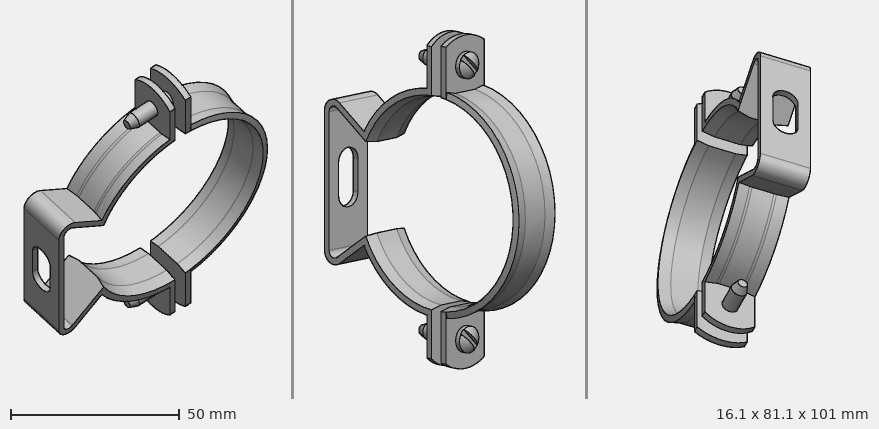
import cadquery as cq
import math


WIDTH = 16.1
HALF_WIDTH = WIDTH / 2
HEIGHT = 101.0
HALF_HEIGHT = HEIGHT / 2

BORE_RADIUS = 31.6
FLARE_ANGLE = math.radians(13.0)
BAND_THICKNESS = 2.1
CLIP_THICKNESS = 2.0
REAR_BEND_X = 4.3
FRONT_BEND_X = 4.1
FRONT_BEND_RADIUS = 3.7

REAR_FLANGE_Y = 2.3
FRONT_FLANGE_Y = -1.6
REAR_TIP_DROP = 2.5
FRONT_TIP_DROP = 3.2
FLANGE_ROOT_Z = 30.3

WALL_Y = -46.6
CORNER_Z = 28.7
ARM_SLOPE = math.radians(34.5)
ARM_ROOT_Y = -20.2
BRACKET_RADIUS = 4.0
SLOT_WIDTH = 8.1
SLOT_LENGTH = 18.0

SCREW_Z = 41.5
SHAFT_RADIUS = 2.5
POINT_RADIUS = 1.5
POINT_LENGTH = 2.7
POINT_START_Y = -10.8
HEAD_RADIUS = 4.0
HEAD_RIM_HEIGHT = 1.6
HEAD_HEIGHT = 3.1
DRIVE_WIDTH = 1.8
DRIVE_DEPTH = 1.7
DRIVE_ANGLE = 45.0

SPAN = 2 * HEIGHT


def revolve_about_x(profile):
    return profile.close().revolve(360, (0, 0, 0), (1, 0, 0))


def flare_rise(bend_x):
    """Radius gained from the bend line to the side of the strip."""
    return (HALF_WIDTH - bend_x) * math.tan(FLARE_ANGLE)


def bore(bend_x):
    """Solid filling the inside of the ring."""
    edge_radius = BORE_RADIUS + flare_rise(bend_x)
    return revolve_about_x(
        cq.Workplane("XY")
        .moveTo(-HALF_WIDTH, 0)
        .lineTo(-HALF_WIDTH, -edge_radius)
        .lineTo(-bend_x, -BORE_RADIUS)
        .lineTo(bend_x, -BORE_RADIUS)
        .lineTo(HALF_WIDTH, -edge_radius)
        .lineTo(HALF_WIDTH, 0)
    )


def outer_bend_x(bend_x, thickness):
    """Bend line on the outside of the strip, before any rounding."""
    return bend_x - thickness * math.tan(FLARE_ANGLE / 2)


def rear_barrel():
    """Filled outside shape of the rear band; the strip edges stand square to the flared sides."""
    bend = outer_bend_x(REAR_BEND_X, BAND_THICKNESS)
    radius = BORE_RADIUS + BAND_THICKNESS
    inner_edge_radius = BORE_RADIUS + flare_rise(REAR_BEND_X)
    edge_x = HALF_WIDTH - BAND_THICKNESS * math.sin(FLARE_ANGLE)
    edge_radius = inner_edge_radius + BAND_THICKNESS * math.cos(FLARE_ANGLE)
    return revolve_about_x(
        cq.Workplane("XY")
        .moveTo(-HALF_WIDTH, 0)
        .lineTo(-HALF_WIDTH, -inner_edge_radius)
        .lineTo(-edge_x, -edge_radius)
        .lineTo(-bend, -radius)
        .lineTo(bend, -radius)
        .lineTo(edge_x, -edge_radius)
        .lineTo(HALF_WIDTH, -inner_edge_radius)
        .lineTo(HALF_WIDTH, 0)
    )


def front_barrel():
    """Filled outside shape of the front clip; side faces are flat and the outer bends are rounded."""
    edge_radius = BORE_RADIUS + flare_rise(FRONT_BEND_X) + CLIP_THICKNESS / math.cos(FLARE_ANGLE)
    bend = outer_bend_x(FRONT_BEND_X, CLIP_THICKNESS)
    radius = BORE_RADIUS + CLIP_THICKNESS
    reach = FRONT_BEND_RADIUS * math.tan(FLARE_ANGLE / 2)
    flare_x = reach * math.cos(FLARE_ANGLE)
    flare_y = reach * math.sin(FLARE_ANGLE)
    return revolve_about_x(
        cq.Workplane("XY")
        .moveTo(-HALF_WIDTH, 0)
        .lineTo(-HALF_WIDTH, -edge_radius)
        .lineTo(-bend - flare_x, -radius - flare_y)
        .tangentArcPoint((-bend + reach, -radius), relative=False)
        .lineTo(bend - reach, -radius)
        .tangentArcPoint((bend + flare_x, -radius - flare_y), relative=False)
        .lineTo(HALF_WIDTH, -edge_radius)
        .lineTo(HALF_WIDTH, 0)
    )


def flange(side, face_y, thickness, tip_drop):
    """Flat ear with a rounded tip, from face_y towards -Y; side is +1 for the top, -1 for the bottom."""
    shoulder_z = side * (HALF_HEIGHT - tip_drop)
    return (
        cq.Workplane("XZ", origin=(0, face_y, 0))
        .moveTo(-HALF_WIDTH, side * FLANGE_ROOT_Z)
        .lineTo(-HALF_WIDTH, shoulder_z)
        .threePointArc((0, side * HALF_HEIGHT), (HALF_WIDTH, shoulder_z))
        .lineTo(HALF_WIDTH, side * FLANGE_ROOT_Z)
        .close()
        .extrude(thickness)
    )


def screw_holes():
    return (
        cq.Workplane("XZ")
        .pushPoints([(0, SCREW_Z), (0, -SCREW_Z)])
        .circle(SHAFT_RADIUS)
        .extrude(SPAN / 2, both=True)
    )


def half_space(face_y, direction):
    """Block with one face at face_y, reaching towards +Y (direction 1) or -Y (direction -1)."""
    return cq.Workplane("XY").box(SPAN, SPAN, SPAN).translate((0, face_y + direction * SPAN / 2, 0))


def bracket_block(inset):
    """Trapezoid block of the wall bracket, shrunk by inset on every side."""
    root_z = CORNER_Z - (ARM_ROOT_Y - WALL_Y) * math.tan(ARM_SLOPE)
    outline = (
        cq.Workplane("YZ")
        .polyline([
            (WALL_Y, -CORNER_Z),
            (WALL_Y, CORNER_Z),
            (ARM_ROOT_Y, root_z),
            (ARM_ROOT_Y, -root_z),
        ])
        .close()
    )
    if inset:
        outline = outline.offset2D(-inset, "intersection")
    block = outline.extrude(HALF_WIDTH, both=True)
    return block.edges("|X").edges("<Y").fillet(BRACKET_RADIUS - inset)


def wall_slot():
    return (
        cq.Workplane("XZ", origin=(0, WALL_Y + CLIP_THICKNESS, 0))
        .slot2D(SLOT_LENGTH, SLOT_WIDTH, 90)
        .extrude(CLIP_THICKNESS)
    )


def make_rear_band():
    band = rear_barrel().intersect(half_space(REAR_FLANGE_Y, 1))
    for side in (1, -1):
        band = band.union(flange(side, REAR_FLANGE_Y + BAND_THICKNESS, BAND_THICKNESS, REAR_TIP_DROP))
    return band.cut(bore(REAR_BEND_X)).cut(screw_holes())


def make_front_clip():
    clip = front_barrel().intersect(half_space(FRONT_FLANGE_Y, -1))
    for side in (1, -1):
        clip = clip.union(flange(side, FRONT_FLANGE_Y, CLIP_THICKNESS, FRONT_TIP_DROP))
    clip = clip.union(bracket_block(0)).cut(bracket_block(CLIP_THICKNESS))
    return clip.cut(bore(FRONT_BEND_X)).cut(screw_holes()).cut(wall_slot())


def make_screw(axis_z):
    """Domed screw along Y with a tapered point and a slanted drive slot."""
    seat_y = REAR_FLANGE_Y + BAND_THICKNESS
    rim_y = seat_y + HEAD_RIM_HEIGHT
    top_y = seat_y + HEAD_HEIGHT
    dome_height = HEAD_HEIGHT - HEAD_RIM_HEIGHT
    dome_radius = (HEAD_RADIUS ** 2 + dome_height ** 2) / (2 * dome_height)
    mid_x = HEAD_RADIUS / 2
    mid_y = top_y - dome_radius + math.sqrt(dome_radius ** 2 - mid_x ** 2)
    body = (
        cq.Workplane("XY")
        .moveTo(0, POINT_START_Y - POINT_LENGTH)
        .lineTo(-POINT_RADIUS, POINT_START_Y - POINT_LENGTH)
        .lineTo(-SHAFT_RADIUS, POINT_START_Y)
        .lineTo(-SHAFT_RADIUS, seat_y)
        .lineTo(-HEAD_RADIUS, seat_y)
        .lineTo(-HEAD_RADIUS, rim_y)
        .threePointArc((-mid_x, mid_y), (0, top_y))
        .close()
        .revolve(360, (0, 0, 0), (0, 1, 0))
    )
    drive_slot = (
        cq.Workplane("XY")
        .box(4 * HEAD_RADIUS, 2 * DRIVE_DEPTH, DRIVE_WIDTH)
        .rotate((0, 0, 0), (0, 1, 0), -DRIVE_ANGLE)
        .translate((0, top_y, 0))
    )
    return body.cut(drive_slot).translate((0, 0, axis_z))


rear_band = make_rear_band()
front_clip = make_front_clip()
screws = [make_screw(axis_z) for axis_z in (SCREW_Z, -SCREW_Z)]

result = cq.Compound.makeCompound([
    rear_band.val(),
    front_clip.val(),
    *[screw.val() for screw in screws],
])